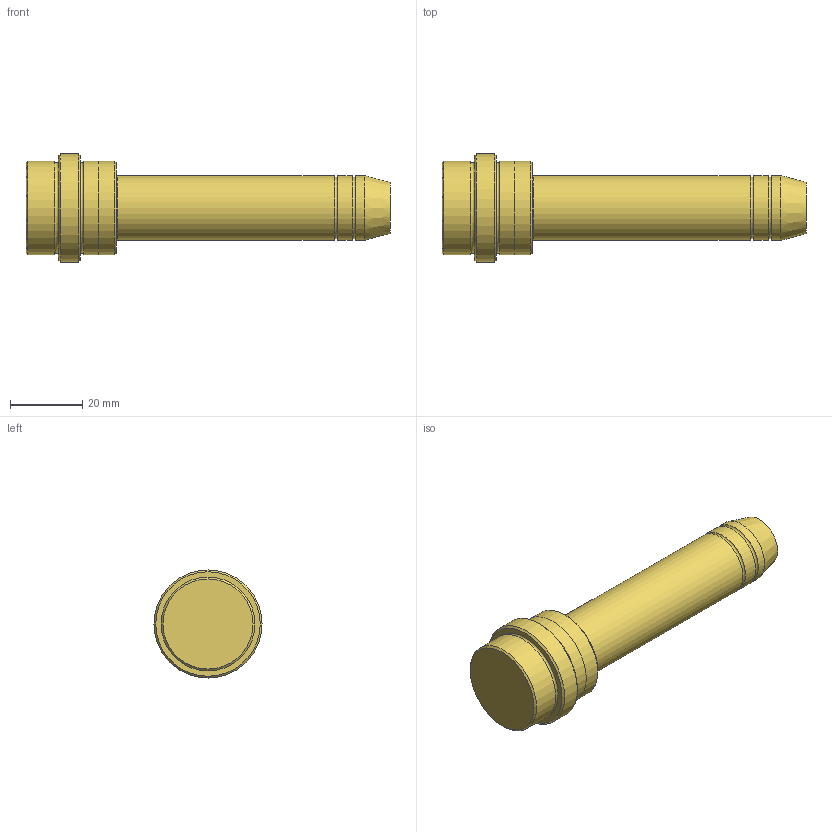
import cadquery as cq
import math

total_length = 101.0
head_length = 25.0
head_land_joint = 20.0
flange_start = 9.0
flange_end = 15.0
tip_length = 7.0

head_diameter = 26.0
flange_diameter = 30.0
shaft_diameter = 18.0

edge_chamfer = 0.5
shaft_root_fillet = 0.3
groove_radius = 0.5
shaft_groove_centers = (86.0, 91.0)

taper_angle = math.radians(15.0)

start_x = -total_length / 2


def cylinder(x_from, length, diameter):
    """Solid cylinder along +X; x_from is measured from the head face."""
    plane = cq.Workplane("YZ", origin=(start_x + x_from, 0, 0))
    return plane.circle(diameter / 2).extrude(length)


def groove(x_center, diameter):
    """Ring of circular section that cuts a half-round groove into a cylinder."""
    section = cq.Workplane("XY").center(start_x + x_center, diameter / 2).circle(groove_radius)
    return section.revolve(360, (0, -diameter / 2, 0), (1, -diameter / 2, 0))


def make_head():
    """Head with chamfered ends and a chamfered flange between two grooves."""
    front = cylinder(0, head_land_joint, head_diameter).faces("<X").edges().chamfer(edge_chamfer)
    rear = cylinder(head_land_joint, head_length - head_land_joint, head_diameter)
    rear = rear.faces(">X").edges().chamfer(edge_chamfer)
    head = front.union(rear, clean=False)
    for groove_center in (flange_start - groove_radius, flange_end + groove_radius):
        head = head.cut(groove(groove_center, head_diameter), clean=False)
    flange = cylinder(flange_start, flange_end - flange_start, flange_diameter)
    flange = flange.faces("<X or >X").edges().chamfer(edge_chamfer)
    return head.union(flange, clean=False)


def make_shaft():
    """Grooved shaft with a tapered tip and a fillet where it leaves the head."""
    shaft_radius = shaft_diameter / 2
    end_radius = shaft_radius - tip_length * math.tan(taper_angle)
    root_x = start_x + head_length
    end_x = start_x + total_length
    profile = (
        cq.Workplane("XY")
        .moveTo(root_x, 0)
        .lineTo(root_x, shaft_radius + shaft_root_fillet)
        .radiusArc((root_x + shaft_root_fillet, shaft_radius), -shaft_root_fillet)
        .lineTo(end_x - tip_length, shaft_radius)
        .lineTo(end_x, end_radius)
        .lineTo(end_x, 0)
        .close()
    )
    shaft = profile.revolve(360, (0, 0, 0), (1, 0, 0))
    for groove_center in shaft_groove_centers:
        shaft = shaft.cut(groove(groove_center, shaft_diameter))
    return shaft


result = make_head().union(make_shaft(), clean=False)